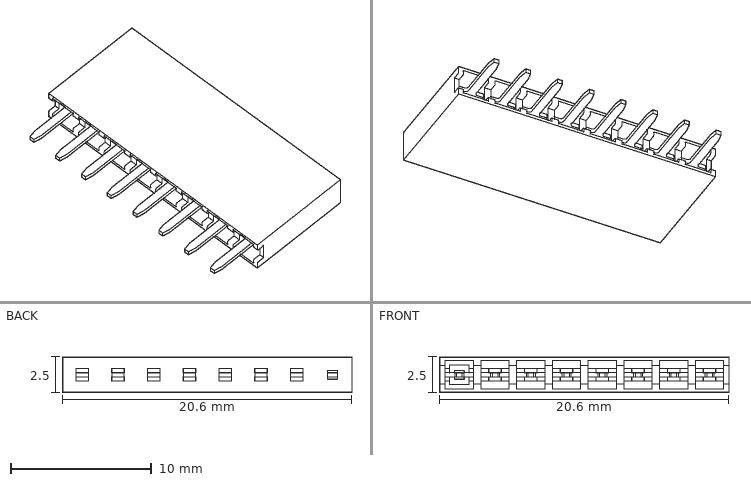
import cadquery as cq

length = 20.57
body_depth = 8.54
height = 2.5

positions = 8
pitch = 2.54
first_x = -(positions - 1) * pitch / 2
contact_xs = [first_x + i * pitch for i in range(positions)]

step_depth = 0.65
step_height = 1.3
step_edge_radius = 0.12

pocket_size = 2.02
pocket_depth = 1.85
slot_height = 0.86
slot_depth = 2.26

window_size = 0.86

recess_size = 1.4
recess_depth = 2.67
first_window_width = 0.68
first_window_height = 0.6

contact_thickness = 0.33
bar_front = 0.78
bar_back = slot_depth
root_radius = 0.19
pin_width = 0.64
pin_length = 3.17
tip_width = 0.4
tip_length = 0.65


def rear_block(x, width, block_height, depth):
    """Block from the rear end inward, centred on x and on mid-height."""
    block = cq.Workplane("XY").box(width, depth, block_height, centered=(True, False, True))
    return block.translate((x, 0, 0))


def make_shell():
    """Housing block with its rear clearance step, inner lip edges rounded."""
    shell = rear_block(0, length, height, body_depth)
    shell = shell.cut(rear_block(0, length, step_height, step_depth))
    lip_edges = shell.faces("<Y").edges("|X and (not >Z) and (not <Z)")
    return lip_edges.fillet(step_edge_radius)


def cut_openings(housing):
    for x in contact_xs:
        housing = housing.cut(rear_block(x, pocket_size, pocket_size, pocket_depth))
        housing = housing.cut(rear_block(x, pocket_size, slot_height, slot_depth))
    for x in contact_xs[1:]:
        housing = housing.cut(rear_block(x, window_size, window_size, body_depth))
    housing = housing.cut(rear_block(first_x, recess_size, recess_size, recess_depth))
    return housing.cut(rear_block(first_x, first_window_width, first_window_height, body_depth))


def make_contact(x):
    """Half the plan outline mirrored about the pin axis, with concave pin roots."""
    half_bar = pocket_size / 2
    half_pin = pin_width / 2
    half_tip = tip_width / 2
    outline = (
        cq.Workplane("XY")
        .moveTo(0, bar_back)
        .lineTo(half_bar, bar_back)
        .lineTo(half_bar, bar_front)
        .lineTo(half_pin + root_radius, bar_front)
        .radiusArc((half_pin, bar_front - root_radius), -root_radius)
        .lineTo(half_pin, tip_length - pin_length)
        .lineTo(half_tip, -pin_length)
        .lineTo(0, -pin_length)
        .mirrorY()
    )
    contact = outline.extrude(contact_thickness / 2, both=True)
    return contact.translate((x, 0, 0))


result = cut_openings(make_shell())
for x in contact_xs:
    result = result.union(make_contact(x))